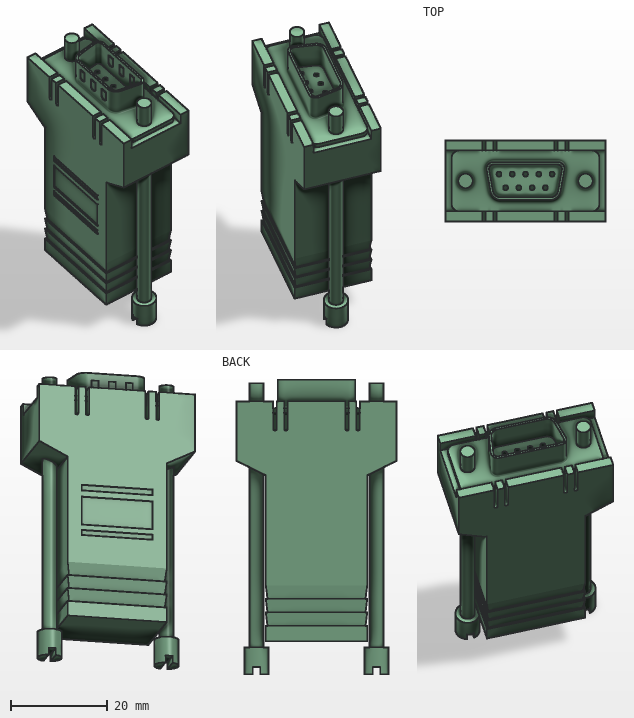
import cadquery as cq
import math

HOUSING_DEPTH = 16.9
HEAD_WIDTH = 33.25
BODY_WIDTH = 21.15
HOUSING_BOTTOM = 6.85
HOUSING_TOP = 56.7
HEAD_BOTTOM = 44.35
BODY_TOP = 41.35

BAND_COUNT = 3
BAND_HEIGHT = 2.8
BAND_INSET = 0.35
FOOT_TOP = 10.05

LABEL_WIDTH = 15.15
LABEL_DEPTH = 0.3
LABEL_SPANS = [(24.55, 25.65), (26.85, 32.9), (34.25, 35.5)]

FLANGE_LENGTH = 30.75
FLANGE_DEPTH = 12.7
FLANGE_BOTTOM = 54.35
FLANGE_THICKNESS = 1.0
FLANGE_TOP = FLANGE_BOTTOM + FLANGE_THICKNESS
FLANGE_CORNER = 1.65

SLOT_WIDTH = 0.75
SLOT_BOTTOM = 50.65
SLOT_POSITIONS = [6.4, 8.65]

SHELL_TOP = 61.25
SHELL_HALF_DEPTH = 3.9
SHELL_MEAN_HALF_WIDTH = 7.65
SHELL_SIDE_ANGLE = 10
SHELL_WIDE_CORNER = 1.4
SHELL_NARROW_CORNER = 2.15
SHELL_WALL = 0.5
FLARE_RADIUS = 0.55

REAR_OFFSET = 1.5
REAR_BOTTOM = 50.5
REAR_EDGE_RADIUS = 0.6

WINDOW_WIDTH = 1.5
WINDOW_BOTTOM = 57.15
WINDOW_TOP = 59.65
WINDOW_CORNER = 0.55
WINDOW_RECESS = 0.1
WINDOW_PITCH = 3.7

CONTACT_DIAMETER = 1.05
CONTACT_DEPTH = 3.05
CONTACT_PITCH = 2.75
CONTACT_ROWS = [(5, 1.4), (4, -1.4)]

SCREW_SPACING = 24.95
SCREW_DIAMETER = 3.0
SCREW_TOP = 60.5
SCREW_HEAD_DIAMETER = 5.1
SCREW_HEAD_HEIGHT = 5.6
DRIVER_SLOT_WIDTH = 1.5
DRIVER_SLOT_DEPTH = 1.5


def block(width, depth, bottom, top):
    """Box centred on the Z axis between two heights."""
    return cq.Workplane("XY").workplane(offset=bottom).rect(width, depth).extrude(top - bottom)


def d_block(offset, bottom, top):
    """D-shaped block, narrower toward -Y, whose walls lie `offset` outside the plug shell."""
    half_depth = SHELL_HALF_DEPTH + offset
    angle = math.radians(SHELL_SIDE_ANGLE)
    mean_half_width = SHELL_MEAN_HALF_WIDTH + offset / math.cos(angle)
    lean = half_depth * math.tan(angle)
    wide = mean_half_width + lean
    narrow = mean_half_width - lean
    outline = [(-wide, half_depth), (wide, half_depth), (narrow, -half_depth), (-narrow, -half_depth)]
    return (
        cq.Workplane("XY").workplane(offset=bottom)
        .polyline(outline).close().extrude(top - bottom)
        .edges("|Z and >Y").fillet(SHELL_WIDE_CORNER + offset)
        .edges("|Z and <Y").fillet(SHELL_NARROW_CORNER + offset)
    )


def make_screw(x):
    """Jack screw with a slotted cylindrical head at its lower end."""
    head = cq.Workplane("XY").center(x, 0).circle(SCREW_HEAD_DIAMETER / 2).extrude(SCREW_HEAD_HEIGHT)
    shank = cq.Workplane("XY").center(x, 0).circle(SCREW_DIAMETER / 2).extrude(SCREW_TOP)
    driver_slot = block(DRIVER_SLOT_WIDTH, SCREW_HEAD_DIAMETER, 0, DRIVER_SLOT_DEPTH).translate((x, 0, 0))
    return head.union(shank).cut(driver_slot)


def make_window(x, outer_y):
    """Cutter for a shell window, running toward +Y from a plane at outer_y."""
    return (
        block(WINDOW_WIDTH, WINDOW_RECESS, WINDOW_BOTTOM, WINDOW_TOP)
        .edges("|Y and <Z").fillet(WINDOW_CORNER)
        .translate((x, outer_y + WINDOW_RECESS / 2, 0))
    )


def make_contact_holes():
    """Blind contact holes sunk from the flange's top face."""
    holes = cq.Workplane("XY").workplane(offset=FLANGE_TOP - CONTACT_DEPTH)
    for count, y in CONTACT_ROWS:
        first_x = -CONTACT_PITCH * (count - 1) / 2
        holes = holes.pushPoints([(first_x + i * CONTACT_PITCH, y) for i in range(count)])
        holes = holes.circle(CONTACT_DIAMETER / 2).extrude(CONTACT_DEPTH)
    return holes


def make_connector():
    """Plug shell, flange and rear body in one piece, not yet drilled."""
    flange = block(FLANGE_LENGTH, FLANGE_DEPTH, FLANGE_BOTTOM, FLANGE_TOP).edges("|Z").fillet(FLANGE_CORNER)
    rear = d_block(REAR_OFFSET, REAR_BOTTOM, FLANGE_BOTTOM).faces("<Z").edges().fillet(REAR_EDGE_RADIUS)
    shell = d_block(0, FLANGE_TOP, SHELL_TOP)
    connector = flange.union(rear).union(shell)

    reach_x = FLANGE_LENGTH / 2 - FLANGE_CORNER
    reach_y = FLANGE_DEPTH / 2 - FLARE_RADIUS / 2
    half_band = FLANGE_THICKNESS / 4
    for z in (FLANGE_BOTTOM, FLANGE_TOP):
        seam = cq.selectors.BoxSelector((-reach_x, -reach_y, z - half_band), (reach_x, reach_y, z + half_band))
        connector = connector.edges(seam).fillet(FLARE_RADIUS)

    connector = connector.cut(d_block(-SHELL_WALL, FLANGE_TOP, SHELL_TOP))

    inner_half_depth = SHELL_HALF_DEPTH - SHELL_WALL
    for x in (-WINDOW_PITCH, 0, WINDOW_PITCH):
        for y in (-SHELL_HALF_DEPTH, inner_half_depth):
            connector = connector.cut(make_window(x, y))

    return connector


def make_grip_band(top):
    """One grip band, full size at its top and tapering inward to its bottom."""
    taper = math.degrees(math.atan2(BAND_INSET, BAND_HEIGHT))
    return (
        cq.Workplane("XY").workplane(offset=top)
        .rect(BODY_WIDTH, HOUSING_DEPTH).extrude(-BAND_HEIGHT, taper=taper)
    )


def make_wall_slot(x):
    """Cutter for a slot through both long walls, open at the top and round at the bottom."""
    radius = SLOT_WIDTH / 2
    round_end = SLOT_BOTTOM + radius
    straight_part = block(SLOT_WIDTH, HOUSING_DEPTH, round_end, HOUSING_TOP).translate((x, 0, 0))
    lower_end = (
        cq.Workplane("XZ").center(x, round_end).circle(radius)
        .extrude(HOUSING_DEPTH / 2, both=True)
    )
    return straight_part.union(lower_end)


def make_housing():
    """Housing without the openings for the connector and the screws."""
    grip_top = FOOT_TOP + BAND_COUNT * BAND_HEIGHT
    right_side = [
        (BODY_WIDTH / 2, grip_top),
        (BODY_WIDTH / 2, BODY_TOP),
        (HEAD_WIDTH / 2, HEAD_BOTTOM),
        (HEAD_WIDTH / 2, HOUSING_TOP),
    ]
    left_side = [(-x, z) for x, z in reversed(right_side)]
    housing = (
        cq.Workplane("XZ").polyline(right_side + left_side).close()
        .extrude(HOUSING_DEPTH / 2, both=True)
    )
    housing = housing.union(block(BODY_WIDTH, HOUSING_DEPTH, HOUSING_BOTTOM, FOOT_TOP))
    for i in range(BAND_COUNT):
        housing = housing.union(make_grip_band(grip_top - i * BAND_HEIGHT))

    housing = housing.cut(block(HEAD_WIDTH, FLANGE_DEPTH, FLANGE_BOTTOM, HOUSING_TOP))

    for distance in SLOT_POSITIONS:
        for x in (-distance, distance):
            housing = housing.cut(make_wall_slot(x))

    label_y = -(HOUSING_DEPTH - LABEL_DEPTH) / 2
    for bottom, top in LABEL_SPANS:
        housing = housing.cut(block(LABEL_WIDTH, LABEL_DEPTH, bottom, top).translate((0, label_y, 0)))
    return housing


screws = [make_screw(x).val() for x in (-SCREW_SPACING / 2, SCREW_SPACING / 2)]
connector = make_connector()
housing = make_housing().cut(connector)
connector = connector.cut(make_contact_holes())
for screw in screws:
    connector = connector.cut(cq.Workplane(screw))
    housing = housing.cut(cq.Workplane(screw))

result = cq.Compound.makeCompound([*housing.solids().vals(), *connector.solids().vals(), *screws])